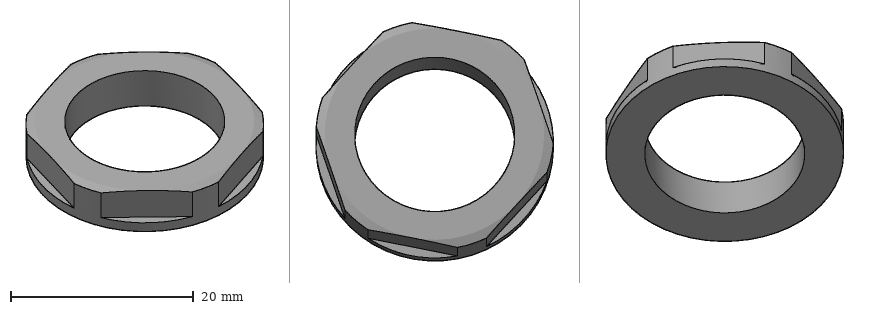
import cadquery as cq
import math

outer_diameter = 26.0
total_height = 5.0
bore_diameter = 17.5
across_flats = 24.0
flange_height = 1.25
chamfer_angle = 15.0

across_corners = across_flats / math.cos(math.radians(30))
chamfer_width = (outer_diameter - across_flats) / 2
chamfer_drop = chamfer_width * math.tan(math.radians(chamfer_angle))


def chamfered_blank():
    """Round blank whose conical top edge ends at the across-flats circle."""
    blank = cq.Workplane("XY").circle(outer_diameter / 2).extrude(total_height)
    return blank.faces(">Z").edges().chamfer(chamfer_drop, chamfer_width)


def hex_envelope():
    """Hexagonal prism above the flange, with corners on the X axis."""
    return (
        cq.Workplane("XY")
        .workplane(offset=flange_height)
        .polygon(6, across_corners)
        .extrude(total_height - flange_height)
    )


def round_flange():
    return cq.Workplane("XY").circle(outer_diameter / 2).extrude(flange_height)


def bore():
    return cq.Workplane("XY").circle(bore_diameter / 2).extrude(total_height)


hex_body = chamfered_blank().intersect(hex_envelope())
result = round_flange().union(hex_body).cut(bore())